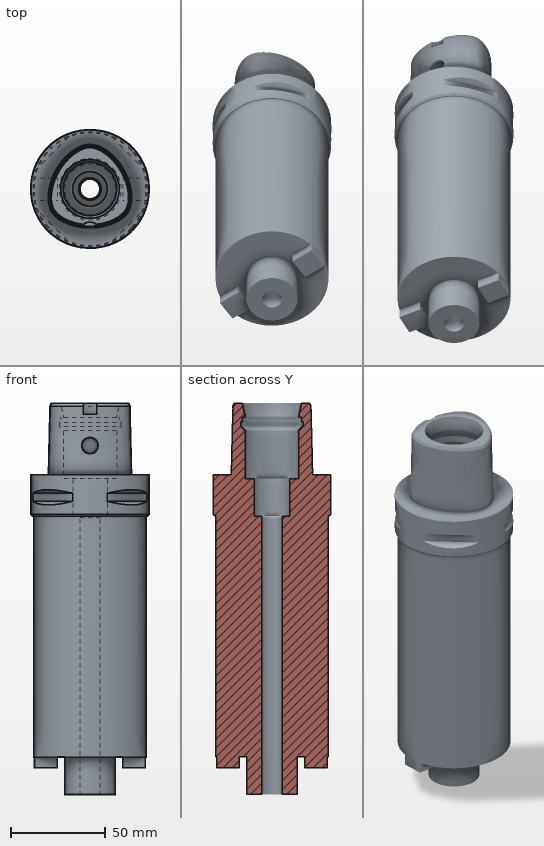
import cadquery as cq
import math


flange_diameter = 63.0
flange_height = 22.0
flange_chamfer = 1.0
body_diameter = 60.0
body_bottom = -150.0

taper_width = 44.4
taper_lobe = 1.5
taper_height = 38.0
taper_ratio = 1 / 20
taper_tip_height = 1.5
taper_tip_inset = 0.8
profile_points = 36

pilot_diameter = 27.0
pilot_length = 20.0
key_width = 12.0
key_height = 5.8
key_inner = 17.3
key_outer = 29.5

mouth_radius = 15.6
socket_radius = 14.2
mouth_cone_depth = 6.7
land_depth = 7.5
relief_radius = 15.6
relief_depth = 10.0
groove_radius = 16.4
groove_wall_depth = 12.2
groove_cone_depth = groove_wall_depth + groove_radius - socket_radius
socket_depth = 40.0
counterbore_radius = 9.2
counterbore_depth = 60.0
coolant_radius = 5.3
coolant_chamfer = 0.7

notch_width = 7.0
notch_height = 5.8
notch_edge_y = -18.8
notch_middle_y = -17.6
cross_hole_diameter = 8.6
cross_hole_z = 15.5
cross_hole_end_y = -15.0

slot_count = 4
slot_z = -12.0
slot_floor_distance = 27.8
slot_floor_height = 4.2
slot_mouth_height = 8.1


def polygon_point(mean_radius, angle):
    """Point on a constant-width outline with one lobe on +Y and a flank on -Y."""
    support = mean_radius + taper_lobe * math.cos(3 * angle)
    slope = -3 * taper_lobe * math.sin(3 * angle)
    along_y = support * math.cos(angle) - slope * math.sin(angle)
    along_x = -(support * math.sin(angle) + slope * math.cos(angle))
    return (along_x, along_y)


def polygon_wire(mean_radius, z):
    """Closed smooth outline that starts and ends at the middle of the -Y flank."""
    step = 2 * math.pi / profile_points
    points = [polygon_point(mean_radius, math.pi + i * step) for i in range(profile_points)]
    return cq.Workplane("XY", origin=(0, 0, z)).spline(points, periodic=True).close().val()


def polygon_frustum(bottom_radius, bottom_z, top_radius, top_z):
    """Ruled solid between two polygon outlines of different mean radius."""
    wires = [polygon_wire(bottom_radius, bottom_z), polygon_wire(top_radius, top_z)]
    return cq.Workplane(cq.Solid.makeLoft(wires, True))


def make_taper():
    base_radius = taper_width / 2
    shoulder_z = taper_height - taper_tip_height
    shoulder_radius = base_radius - taper_ratio / 2 * shoulder_z
    tip_radius = shoulder_radius - taper_tip_inset
    cone = polygon_frustum(base_radius, 0, shoulder_radius, shoulder_z)
    tip = polygon_frustum(shoulder_radius, shoulder_z, tip_radius, taper_height)
    return cone.union(tip)


def make_flange_and_body():
    flange_radius = flange_diameter / 2
    body_radius = body_diameter / 2
    pilot_radius = pilot_diameter / 2
    outline = [
        (0, 0),
        (flange_radius, 0),
        (flange_radius, flange_chamfer - flange_height),
        (flange_radius - flange_chamfer, -flange_height),
        (body_radius, -flange_height),
        (body_radius, body_bottom),
        (pilot_radius, body_bottom),
        (pilot_radius, body_bottom - pilot_length),
        (0, body_bottom - pilot_length),
    ]
    return cq.Workplane("XZ").polyline(outline).close().revolve(360, (0, 0), (0, 1))


def make_key(side):
    length = key_outer - key_inner
    middle = side * (key_inner + key_outer) / 2
    key = cq.Workplane("XY").box(length, key_width, key_height, centered=(True, True, False))
    return key.translate((middle, 0, body_bottom - key_height))


def make_bore():
    """Revolved cutter for the mouth cone, undercuts, socket and through coolant hole."""
    total_length = taper_height - body_bottom + pilot_length
    outline = [
        (0, 0),
        (mouth_radius, 0),
        (socket_radius, mouth_cone_depth),
        (socket_radius, land_depth),
        (relief_radius, land_depth),
        (relief_radius, relief_depth),
        (groove_radius, relief_depth),
        (groove_radius, groove_wall_depth),
        (socket_radius, groove_cone_depth),
        (socket_radius, socket_depth),
        (counterbore_radius, socket_depth),
        (counterbore_radius, counterbore_depth),
        (coolant_radius + coolant_chamfer, counterbore_depth),
        (coolant_radius, counterbore_depth + coolant_chamfer),
        (coolant_radius, total_length),
        (0, total_length),
    ]
    points = [(radius, taper_height - depth) for radius, depth in outline]
    return cq.Workplane("XZ").polyline(points).close().revolve(360, (0, 0), (0, 1))


def make_notch():
    half = notch_width / 2
    return (
        cq.Workplane("XY", origin=(0, 0, taper_height - notch_height))
        .moveTo(-half, -taper_width / 2)
        .lineTo(-half, notch_edge_y)
        .threePointArc((0, notch_middle_y), (half, notch_edge_y))
        .lineTo(half, -taper_width / 2)
        .close()
        .extrude(notch_height)
    )


def make_cross_hole():
    plane = cq.Workplane("XZ", origin=(0, cross_hole_end_y, cross_hole_z))
    return plane.circle(cross_hole_diameter / 2).extrude(taper_width / 2)


def make_gripper_slot(angle):
    """Flat-bottomed groove with sloping sides, cut straight across the flange rim."""
    mouth = flange_diameter / 2
    half_floor = slot_floor_height / 2
    half_mouth = slot_mouth_height / 2
    outline = [
        (slot_floor_distance, slot_z - half_floor),
        (slot_floor_distance, slot_z + half_floor),
        (mouth, slot_z + half_mouth),
        (mouth, slot_z - half_mouth),
    ]
    slot = cq.Workplane("XZ").polyline(outline).close().extrude(flange_diameter / 2, both=True)
    return slot.rotate((0, 0, 0), (0, 0, 1), angle)


result = make_flange_and_body().union(make_taper())
for side in (-1, 1):
    result = result.union(make_key(side))
result = result.cut(make_bore()).cut(make_notch()).cut(make_cross_hole())
slot_spacing = 360 / slot_count
for index in range(slot_count):
    result = result.cut(make_gripper_slot(slot_spacing * (index + 0.5)))